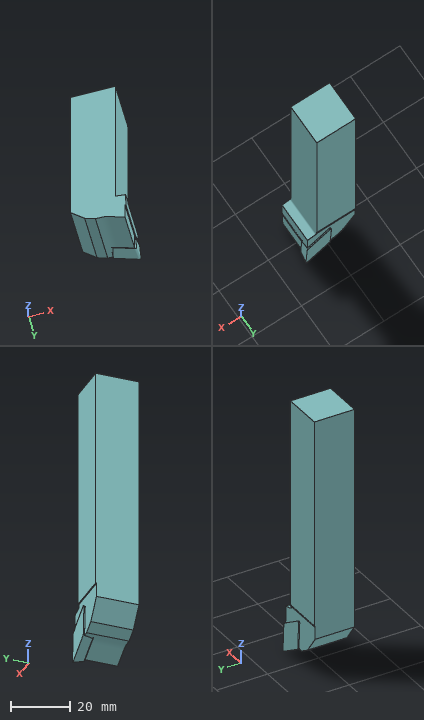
import cadquery as cq
import math


total_length = 101.4
total_width = 20.4
total_depth = 16.0

shank_size = 15.8
head_depth = 15.5
head_top_z = 20.3
back_corner_z = 15.2
heel_x = 5.1
heel_z = 8.1
sole_x = 8.8
sole_z = 5.8
seat_x = 12.3
seat_z = 5.7
seat_blend_radius = 5.1
toe_x = 19.2
toe_z = 1.4
relief_z = 10.3
cheek_x = 19.5
shoulder_x = 19.4
shoulder_outer_z = 18.1
shoulder_inner_z = 19.0
shoulder_fillet = 0.6

insert_thickness = 4.0
inscribed_diameter = 9.5
nose_angle = 55.0
nose_radius = 0.5
approach_angle = 93.0
clearance_angle = 7.0


def make_holder():
    """Shank and angled head from one XZ outline, with the head set back at +Y."""
    outline = [
        (0, total_length),
        (0, back_corner_z),
        (heel_x, heel_z),
        (sole_x, sole_z),
        (seat_x, seat_z),
        (toe_x, toe_z),
        (toe_x, relief_z),
        (cheek_x, relief_z),
        (shoulder_x, shoulder_outer_z),
        (shank_size, shoulder_inner_z),
        (shank_size, total_length),
    ]
    holder = cq.Workplane("XZ").polyline(outline).close().extrude(-shank_size)
    holder = blend_edge(holder, seat_x, seat_z, seat_blend_radius)
    holder = blend_edge(holder, shank_size, shoulder_inner_z, shoulder_fillet)
    set_back = cq.Workplane("XY").box(total_width, shank_size - head_depth, head_top_z, centered=False)
    return holder.cut(set_back.translate((0, head_depth, 0)))


def blend_edge(body, x, z, radius):
    """Fillet the edge along Y that passes through (x, z)."""
    edge = cq.selectors.NearestToPointSelector((x, head_depth / 2, z))
    return body.edges("|Y").edges(edge).fillet(radius)


def make_insert():
    """Rhombus tapering away from its +Y face by the clearance angle."""
    side = inscribed_diameter / math.sin(math.radians(nose_angle))
    outer = math.radians(approach_angle)
    lower = math.radians(approach_angle + nose_angle)
    middle = (outer + lower) / 2

    nose_offset = nose_radius / math.sin(math.radians(nose_angle / 2))
    nose_x = total_width - nose_radius - nose_offset * math.cos(middle)
    nose_z = nose_radius - nose_offset * math.sin(middle)

    outer_step = (side * math.cos(outer), side * math.sin(outer))
    lower_step = (side * math.cos(lower), side * math.sin(lower))
    corners = [
        (nose_x, nose_z),
        (nose_x + outer_step[0], nose_z + outer_step[1]),
        (nose_x + outer_step[0] + lower_step[0], nose_z + outer_step[1] + lower_step[1]),
        (nose_x + lower_step[0], nose_z + lower_step[1]),
    ]
    top_face = cq.Workplane("XZ", origin=(0, total_depth, 0)).polyline(corners).close()
    insert = top_face.extrude(insert_thickness, taper=clearance_angle)
    return insert.edges("not(#Y)").fillet(nose_radius)


insert = make_insert()
holder = make_holder().cut(insert)

result = cq.Compound.makeCompound([holder.val(), insert.val()])